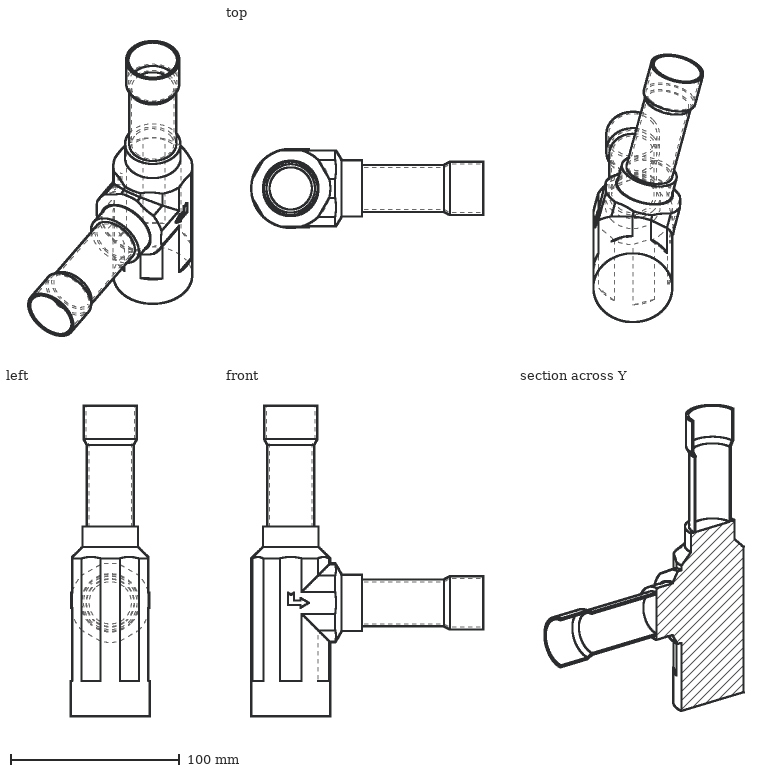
import cadquery as cq

total_height = 184.0
body_diameter = 47.0
body_radius = body_diameter / 2
flat_to_flat = 45.0
branch_reach = 114.0
branch_height = 67.2

flats_bottom = 21.0
shoulder_bottom = 93.5
shoulder_top = 100.3
neck_top = 112.5
neck_diameter = 33.0

branch_shoulder_start = 26.3
branch_shoulder_end = 30.0
branch_neck_end = 42.3
branch_neck_diameter = 33.5
branch_shoulder_diameter = 34.5

tube_diameter = 28.0
socket_diameter = 31.6
wall = 1.5
socket_length = 19.9
flare_length = 3.5

arrow_relief = 0.7
arrow_stem_left = -1.5
arrow_stem_right = 1.8
arrow_stem_top = 6.0
arrow_notch_height = 4.6
arrow_bar_bottom = -1.3
arrow_bar_top = 1.5
arrow_head_start = 5.7
arrow_head_half_width = 3.0
arrow_tip = 10.7


def revolve_z(profile):
    """Revolve a closed (radius, height) profile about Z."""
    return cq.Workplane("XZ").polyline(profile).close().revolve(360, (0, 0), (0, 1))


def rounded_hexagon(length):
    """Hexagonal bar along Z, flats facing +Y and -Y, corners rounded."""
    hexagon = cq.Workplane("XY").polygon(6, flat_to_flat, circumscribed=True).extrude(length)
    hexagon = hexagon.rotate((0, 0, 0), (0, 0, 1), 30)
    return hexagon.intersect(cq.Workplane("XY").circle(body_radius).extrude(length))


def tube(start, end):
    """Tube along Z, blind at start and flared to a socket at end."""
    socket_start = end - socket_length
    flare_start = socket_start - flare_length
    tube_radius = tube_diameter / 2
    socket_radius = socket_diameter / 2
    return revolve_z([
        (tube_radius - wall, start),
        (tube_radius, start),
        (tube_radius, flare_start),
        (socket_radius, socket_start),
        (socket_radius, end),
        (socket_radius - wall, end),
        (socket_radius - wall, socket_start),
        (tube_radius - wall, flare_start),
    ])


def vertical_body():
    neck_radius = neck_diameter / 2
    envelope = revolve_z([
        (0, 0),
        (body_radius, 0),
        (body_radius, shoulder_bottom),
        (neck_radius, shoulder_top),
        (neck_radius, neck_top),
        (0, neck_top),
    ])
    base = cq.Workplane("XY").circle(body_radius).extrude(flats_bottom)
    hexagon = rounded_hexagon(neck_top - flats_bottom).translate((0, 0, flats_bottom))
    return envelope.intersect(base.union(hexagon))


def branch_body():
    """Side branch built along Z, then laid along +X at the branch height."""
    neck_radius = branch_neck_diameter / 2
    envelope = revolve_z([
        (0, 0),
        (body_radius, 0),
        (body_radius, branch_shoulder_start),
        (branch_shoulder_diameter / 2, branch_shoulder_end),
        (neck_radius, branch_shoulder_end),
        (neck_radius, branch_neck_end),
        (0, branch_neck_end),
    ])
    branch = envelope.intersect(rounded_hexagon(branch_neck_end))
    branch = branch.union(tube(branch_neck_end, branch_reach))
    return branch.rotate((0, 0, 0), (0, 1, 0), 90).translate((0, 0, branch_height))


def flow_arrows():
    """Bent arrow running through the body, standing proud of both Y flats."""
    outline = [
        (arrow_stem_left, arrow_bar_bottom),
        (arrow_head_start, arrow_bar_bottom),
        (arrow_head_start, -arrow_head_half_width),
        (arrow_tip, 0),
        (arrow_head_start, arrow_head_half_width),
        (arrow_head_start, arrow_bar_top),
        (arrow_stem_right, arrow_bar_top),
        (arrow_stem_right, arrow_stem_top),
        ((arrow_stem_left + arrow_stem_right) / 2, arrow_notch_height),
        (arrow_stem_left, arrow_stem_top),
    ]
    half_span = flat_to_flat / 2 + arrow_relief
    arrow = cq.Workplane("XZ").polyline(outline).close().extrude(half_span, both=True)
    return arrow.translate((0, 0, branch_height))


result = (
    vertical_body()
    .union(tube(neck_top, total_height))
    .union(branch_body())
    .union(flow_arrows())
)